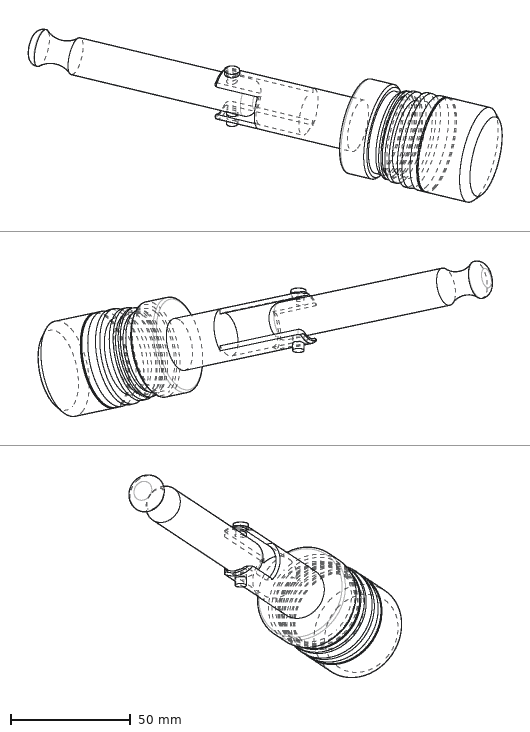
import cadquery as cq
import math

total_length = 206.7
knob_start = 148.5
knob_radius = 20.36

rod_radius = 7.95

stem_radius = 11.05
bore_radius = 9.2
fork_tip = 86.0
tip_chamfer = 1.0
prong_corner_radius = 2.0
prong_back = 5.8
front_slot_end = 106.0
back_cut_end = 125.5

slot_half_height = rod_radius
prong_front = -math.sqrt(stem_radius**2 - slot_half_height**2)

front_round = 1.0
collar_end = 160.8
collar_chamfer = 1.0
neck_radius = 17.68
neck_taper_start = 164.1
neck_taper_radius = 16.7
small_flange_start = 166.0
small_flange_end = 167.0
small_flange_radius = 19.0
flange_gap_radius = 17.5
large_flange_start = 169.1
large_flange_end = 171.0
large_flange_radius = 19.6
waist_radius = 16.0
waist_bend_x = 173.7
waist_bend_radius = 16.3
shoulder_radius = 16.5
body_start = 175.0
round_groove_start = 177.2
round_groove_end = 180.9
round_groove_depth = 0.5
seam_center = 184.2
seam_width = 0.6
seam_depth = 0.2
end_chamfer = 3.3

rod_offset = bore_radius - rod_radius
rod_end = 101.7
rod_end_round = 4.0
tip_face_radius = 4.1
tip_round = rod_radius - tip_face_radius
grip_start = 4.1
grip_end = 19.5
grip_radius = 5.2

pin_x = 91.2
pin_radius = 2.38
pin_head_radius = 3.2
pin_top = 12.8
pin_bottom = -14.0


def revolve_about_x(profile):
    """Revolve a closed XY profile a full turn about the X axis."""
    return profile.close().revolve(360, (0, 0, 0), (1, 0, 0))


def round_corner_middle(center_x, center_r, radius, direction):
    """Midpoint of a quarter-round corner that faces outward and along direction (+1 or -1)."""
    reach = radius * math.sqrt(0.5)
    return (center_x + direction * reach, center_r + reach)


def make_stem():
    """Solid stem with a chamfered tip, reaching the knob."""
    profile = (
        cq.Workplane("XY")
        .moveTo(fork_tip, 0)
        .lineTo(fork_tip, stem_radius - tip_chamfer)
        .lineTo(fork_tip + tip_chamfer, stem_radius)
        .lineTo(knob_start, stem_radius)
        .lineTo(knob_start, 0)
    )
    return revolve_about_x(profile)


def side_cut(end_x, edge_y, outward):
    """Block that clears one side of the stem and leaves a rounded prong corner at the tip."""
    outer_y = outward * 2 * stem_radius
    corner_y = edge_y - outward * prong_corner_radius
    reach = prong_corner_radius * (1 - math.sqrt(0.5))
    return (
        cq.Workplane("XY")
        .workplane(offset=-stem_radius)
        .moveTo(fork_tip, corner_y)
        .threePointArc(
            (fork_tip + reach, edge_y - outward * reach),
            (fork_tip + prong_corner_radius, edge_y),
        )
        .lineTo(end_x, edge_y)
        .lineTo(end_x, outer_y)
        .lineTo(fork_tip, outer_y)
        .close()
        .extrude(2 * stem_radius)
    )


def make_front_slot():
    """Slot with level edges that opens the -Y side of the stem into the bore."""
    return cq.Workplane("XY").box(
        front_slot_end - fork_tip, 2 * stem_radius, 2 * slot_half_height, centered=(False, False, True)
    ).translate((fork_tip, -2 * stem_radius, 0))


def make_knob():
    """Turned knob with its collar, flanges, grooves and chamfered end."""
    front_middle = round_corner_middle(
        knob_start + front_round, knob_radius - front_round, front_round, -1
    )
    groove_middle = ((round_groove_start + round_groove_end) / 2, knob_radius - round_groove_depth)
    seam_start = seam_center - seam_width / 2
    seam_end = seam_center + seam_width / 2
    profile = (
        cq.Workplane("XY")
        .moveTo(knob_start, 0)
        .lineTo(knob_start, knob_radius - front_round)
        .threePointArc(front_middle, (knob_start + front_round, knob_radius))
        .lineTo(collar_end - collar_chamfer, knob_radius)
        .lineTo(collar_end, knob_radius - collar_chamfer)
        .lineTo(collar_end, neck_radius)
        .lineTo(neck_taper_start, neck_radius)
        .lineTo(small_flange_start, neck_taper_radius)
        .lineTo(small_flange_start, small_flange_radius)
        .lineTo(small_flange_end, small_flange_radius)
        .lineTo(small_flange_end, flange_gap_radius)
        .lineTo(large_flange_start, flange_gap_radius)
        .lineTo(large_flange_start, large_flange_radius)
        .lineTo(large_flange_end, large_flange_radius)
        .lineTo(large_flange_end, waist_radius)
        .threePointArc((waist_bend_x, waist_bend_radius), (body_start, shoulder_radius))
        .lineTo(body_start, knob_radius)
        .lineTo(round_groove_start, knob_radius)
        .threePointArc(groove_middle, (round_groove_end, knob_radius))
        .lineTo(seam_start, knob_radius)
        .lineTo(seam_start, knob_radius - seam_depth)
        .lineTo(seam_end, knob_radius - seam_depth)
        .lineTo(seam_end, knob_radius)
        .lineTo(total_length - end_chamfer, knob_radius)
        .lineTo(total_length, knob_radius - end_chamfer)
        .lineTo(total_length, 0)
    )
    return revolve_about_x(profile)


def make_pin():
    """Vertical pin whose head rests at the top of the stem."""
    shank = (
        cq.Workplane("XY", origin=(pin_x, 0, pin_bottom))
        .circle(pin_radius)
        .extrude(pin_top - pin_bottom)
    )
    head = (
        cq.Workplane("XY", origin=(pin_x, 0, stem_radius))
        .circle(pin_head_radius)
        .extrude(pin_top - stem_radius)
    )
    return shank.union(head)


def make_housing():
    """Knob and hollow stem; the stem ends in two prongs drilled for the pin."""
    bore = cq.Workplane("YZ", origin=(fork_tip, 0, 0)).circle(bore_radius).extrude(back_cut_end - fork_tip)
    fork = (
        make_stem()
        .cut(bore)
        .cut(make_front_slot())
        .cut(side_cut(front_slot_end, prong_front, -1))
        .cut(side_cut(back_cut_end, prong_back, 1))
    )
    return fork.union(make_knob()).cut(make_pin())


def make_rod():
    """Rod with a rounded tip, a waisted grip and the pivot pin fixed across it."""
    tip_middle = round_corner_middle(tip_round, tip_face_radius, tip_round, -1)
    end_middle = round_corner_middle(
        rod_end - rod_end_round, rod_radius - rod_end_round, rod_end_round, 1
    )
    profile = (
        cq.Workplane("XY")
        .lineTo(0, tip_face_radius)
        .threePointArc(tip_middle, (tip_round, rod_radius))
        .lineTo(grip_start, rod_radius)
        .threePointArc(((grip_start + grip_end) / 2, grip_radius), (grip_end, rod_radius))
        .lineTo(rod_end - rod_end_round, rod_radius)
        .threePointArc(end_middle, (rod_end, rod_radius - rod_end_round))
        .lineTo(rod_end, 0)
    )
    bar = revolve_about_x(profile).translate((0, rod_offset, 0))
    return bar.union(make_pin())


housing = make_housing()
rod = make_rod()
result = cq.Compound.makeCompound([housing.val(), rod.val()])